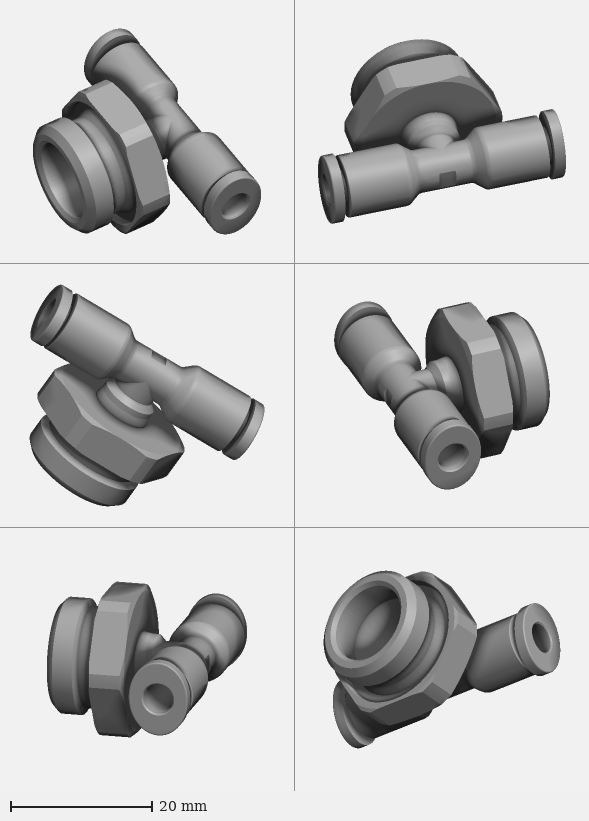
import cadquery as cq
import math

run_length = 34.2
half_run = run_length / 2
sleeve_radius = 4.5
sleeve_end = 14.7
sleeve_shoulder = 5.78
sleeve_edge_round = 0.15
waist_radius = 3.1
waist_half_length = 4.0
taper_round = 1.0

collet_width = 8.65
collet_height = 10.8
collet_thickness = 1.6
collet_edge_round = 0.2
collet_neck_radius = 2.77
tube_bore_radius = 2.2
tube_bore_chamfer = 0.2

notch_floor_y = 2.77
notch_floor_width = 2.33
notch_side_lean = 0.1

stem_cone_start = 3.52
stem_cone_end = 4.45
stem_radius = 4.0
stem_flare_start = 5.37
stem_flare_end = 6.65
stem_foot_radius = 4.25
hex_back = 6.8
hex_front = 11.87
plug_neck_radius = 7.3
plug_neck_start = 12.28
plug_neck_end = 14.3
thread_radius = 8.3
thread_start = 14.88
thread_chamfer = 1.0
plug_end = 18.78

hex_across_flats = 20.0
hex_corner_radius = 11.0
hex_back_face_radius = hex_across_flats / 2
hex_front_face_radius = 10.5
hex_chamfer_angle = math.radians(22)

recess_depth = 1.03
recess_rim_radius = 9.5
recess_floor_radius = 9.2
recess_root_radius = 7.97

bore_radius = 5.78
bore_chamfer = 0.55
bore_depth = 5.0
bore_tip_angle = math.radians(118)


def turned_about_y(profile):
    """Solid of revolution from (radius, distance toward -Y) points."""
    points = [(radius, -distance) for radius, distance in profile]
    return cq.Workplane("XY").polyline(points).close().revolve(360, (0, 0, 0), (0, 1, 0))


def turned_about_x(profile):
    """Solid of revolution from (distance toward +X, radius) points."""
    return cq.Workplane("XY").polyline(profile).close().revolve(360, (0, 0, 0), (1, 0, 0))


def make_barrel():
    """Two sleeves joined by a narrower waist, with rounded tapers between them."""
    right_side = [
        (waist_half_length, waist_radius),
        (sleeve_shoulder, sleeve_radius),
        (sleeve_end, sleeve_radius),
        (sleeve_end, 0),
    ]
    left_side = [(-distance, radius) for distance, radius in reversed(right_side)]
    barrel = turned_about_x(left_side + right_side)
    box_half_length = (sleeve_shoulder + sleeve_end) / 2
    box_half_width = 2 * sleeve_radius
    taper_edges = cq.selectors.BoxSelector(
        (-box_half_length, -box_half_width, -box_half_width),
        (box_half_length, box_half_width, box_half_width),
        boundingbox=True,
    )
    barrel = barrel.edges("%CIRCLE").edges(taper_edges).fillet(taper_round)
    return barrel.faces("<X or >X").edges().fillet(sleeve_edge_round)


def make_collet():
    """Oval release collet with its round neck on the +X side."""
    disc = (
        cq.Workplane("YZ", origin=(half_run - collet_thickness, 0, 0))
        .ellipse(collet_width / 2, collet_height / 2)
        .extrude(collet_thickness)
        .faces(">X").edges().fillet(collet_edge_round)
    )
    neck = (
        cq.Workplane("YZ", origin=(sleeve_shoulder, 0, 0))
        .circle(collet_neck_radius)
        .extrude(half_run - collet_thickness - sleeve_shoulder)
    )
    return disc.union(neck)


def make_tube_bore():
    """Blind tube bore with a chamfered mouth, cut from the +X end to the shoulder."""
    mouth_radius = tube_bore_radius + tube_bore_chamfer
    profile = [
        (sleeve_shoulder, 0),
        (sleeve_shoulder, tube_bore_radius),
        (half_run - tube_bore_chamfer, tube_bore_radius),
        (half_run, mouth_radius),
        (half_run, 0),
    ]
    return turned_about_x(profile)


def make_run():
    collet = make_collet()
    tube_bore = make_tube_bore()
    run = make_barrel().union(collet).union(collet.mirror("YZ"))
    return run.cut(tube_bore).cut(tube_bore.mirror("YZ"))


def make_notch():
    floor_half = notch_floor_width / 2
    top_half = floor_half + notch_side_lean
    profile = [
        (-floor_half, notch_floor_y),
        (floor_half, notch_floor_y),
        (top_half, waist_radius),
        (-top_half, waist_radius),
    ]
    return cq.Workplane("XY").polyline(profile).close().extrude(waist_radius, both=True)


def make_stem():
    return turned_about_y([
        (0, 0),
        (waist_radius, 0),
        (waist_radius, stem_cone_start),
        (stem_radius, stem_cone_end),
        (stem_radius, stem_flare_start),
        (stem_foot_radius, stem_flare_end),
        (stem_foot_radius, hex_back),
        (0, hex_back),
    ])


def make_hexagon():
    """Hexagon with flats on +Z and -Z, its corners turned and chamfered."""
    across_corners = hex_across_flats / math.cos(math.radians(30))
    prism = (
        cq.Workplane("XZ", origin=(0, -hex_back, 0))
        .polygon(6, across_corners)
        .extrude(hex_front - hex_back)
    )
    back_drop = (hex_corner_radius - hex_back_face_radius) * math.tan(hex_chamfer_angle)
    front_drop = (hex_corner_radius - hex_front_face_radius) * math.tan(hex_chamfer_angle)
    turned_blank = turned_about_y([
        (0, hex_back),
        (hex_back_face_radius, hex_back),
        (hex_corner_radius, hex_back + back_drop),
        (hex_corner_radius, hex_front - front_drop),
        (hex_front_face_radius, hex_front),
        (0, hex_front),
    ])
    return prism.intersect(turned_blank)


def make_seal_recess():
    floor = hex_front - recess_depth
    return turned_about_y([
        (0, floor),
        (recess_floor_radius, floor),
        (recess_rim_radius, hex_front),
        (0, hex_front),
    ])


def make_plug():
    return turned_about_y([
        (0, hex_front - recess_depth),
        (recess_root_radius, hex_front - recess_depth),
        (plug_neck_radius, plug_neck_start),
        (plug_neck_radius, plug_neck_end),
        (thread_radius, thread_start),
        (thread_radius, plug_end - thread_chamfer),
        (thread_radius - thread_chamfer, plug_end),
        (0, plug_end),
    ])


def make_plug_bore():
    """Drilled bore with a conical bottom and a chamfered mouth."""
    bore_bottom = plug_end - bore_depth
    tip = bore_bottom - bore_radius / math.tan(bore_tip_angle / 2)
    return turned_about_y([
        (0, tip),
        (bore_radius, bore_bottom),
        (bore_radius, plug_end - bore_chamfer),
        (bore_radius + bore_chamfer, plug_end),
        (0, plug_end),
    ])


run = make_run().cut(make_notch())
plug = make_hexagon().cut(make_seal_recess()).union(make_plug()).cut(make_plug_bore())
result = run.union(make_stem()).union(plug)